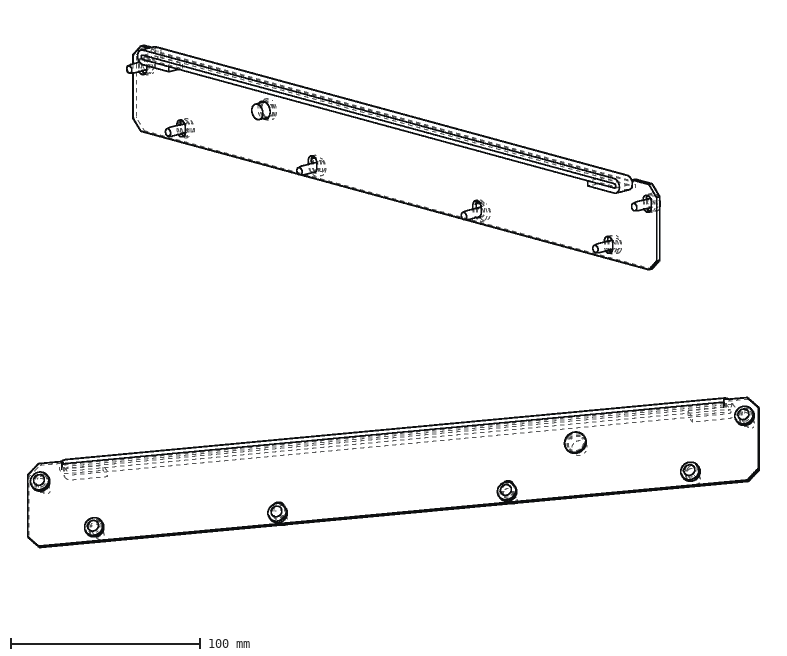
import cadquery as cq


panel_length = 398.0
sheet = 2.5
panel_height = 46.5
corner_cut = 6.0
bend_inner_radius = 2.0
bend_outer_radius = bend_inner_radius + sheet

cap_straight_half = 179.0
cap_sheet = 2.8
cap_height = sheet + 2 * cap_sheet
cap_tab_length = 20.0
cap_back_y = -4.8
cap_front_y = -14.5
flange_z = panel_height - sheet / 2

screw_x_inner = 62.5
screw_x_outer = 162.5
screw_x_ear = 192.0
screw_z_inner = 5.5
screw_z_outer = 7.0
screw_z_ear = 36.0
shaft_diameter = 4.8
shaft_reach = 9.5
tip_length = 2.5
tip_inset = 0.5
head_diameter = 10.0
head_height = 3.5
head_bevel_height = 1.0
head_bevel_inset = 2.0

slot_width = 6.5
slot_height = 9.0
lower_slot_z = 7.5

stud_x = -99.5
stud_z = 30.0
stud_diameter = 8.5
stud_hole_diameter = 9.5
stud_reach = 4.8
stud_head_diameter = 11.5
stud_head_height = 1.0

screw_places = []
slot_places = []
for side in (-1, 1):
    screw_places += [
        (side * screw_x_inner, screw_z_inner),
        (side * screw_x_outer, screw_z_outer),
        (side * screw_x_ear, screw_z_ear),
    ]
    slot_places += [
        (side * screw_x_inner, lower_slot_z),
        (side * screw_x_outer, lower_slot_z),
        (side * screw_x_ear, screw_z_ear),
    ]


def xz_plane(y):
    """Sketch plane at depth y: sketch x is X, sketch y is Z, and extruding goes toward -Y."""
    return cq.Workplane("XZ", origin=(0, y, 0))


def fold_outline(height):
    """Long round-ended prism around the flange, between the back and the front of the cap."""
    return (
        xz_plane(cap_back_y)
        .center(0, flange_z)
        .slot2D(2 * cap_straight_half + height, height)
        .extrude(cap_back_y - cap_front_y)
    )


def make_panel():
    bend_half = cap_straight_half + sheet / 2
    plate = (
        xz_plane(0)
        .rect(panel_length, panel_height)
        .extrude(sheet)
        .edges("|Y")
        .chamfer(corner_cut)
        .translate((0, 0, panel_height / 2))
    )

    bend_bottom = panel_height - bend_outer_radius
    bend_space = cq.Workplane("XY").box(
        2 * bend_half, 2 * sheet, bend_outer_radius, centered=(True, True, False)
    ).translate((0, -sheet, bend_bottom))
    bend = (
        cq.Workplane("YZ", origin=(-bend_half, 0, 0))
        .moveTo(0, bend_bottom)
        .radiusArc((-bend_outer_radius, panel_height), -bend_outer_radius)
        .lineTo(cap_back_y, panel_height)
        .lineTo(cap_back_y, panel_height - sheet)
        .lineTo(-bend_outer_radius, panel_height - sheet)
        .radiusArc((-sheet, bend_bottom), bend_inner_radius)
        .close()
        .extrude(2 * bend_half)
    )
    panel = plate.cut(bend_space).union(bend).union(fold_outline(sheet))

    slots = (
        xz_plane(0)
        .pushPoints(slot_places)
        .slot2D(slot_height, slot_width, 90)
        .extrude(sheet)
    )
    stud_hole = xz_plane(0).center(stud_x, stud_z).circle(stud_hole_diameter / 2).extrude(sheet)
    return panel.cut(slots).cut(stud_hole)


def make_cap():
    tab_gap_half = cap_straight_half - cap_tab_length
    tab_gap = cq.Workplane("XY").box(
        2 * tab_gap_half, cap_back_y - cap_front_y, cap_sheet
    ).translate((0, (cap_back_y + cap_front_y) / 2, flange_z - (sheet + cap_sheet) / 2))
    return fold_outline(cap_height).cut(fold_outline(sheet)).cut(tab_gap)


def make_screw(x, z):
    """Pan-head screw along Y, its head resting on the back of the panel."""
    head = (
        xz_plane(head_height)
        .circle(head_diameter / 2)
        .extrude(head_height)
        .faces(">Y")
        .edges()
        .chamfer(head_bevel_height, head_bevel_inset)
    )
    shaft = (
        xz_plane(0)
        .circle(shaft_diameter / 2)
        .extrude(sheet + shaft_reach)
        .faces("<Y")
        .chamfer(tip_length, tip_inset)
    )
    return head.union(shaft).translate((x, 0, z))


def make_stud():
    head = xz_plane(stud_head_height).circle(stud_head_diameter / 2).extrude(stud_head_height)
    body = xz_plane(0).circle(stud_diameter / 2).extrude(sheet + stud_reach)
    return head.union(body).translate((stud_x, 0, stud_z))


panel = make_panel()
cap = make_cap()
screws = [make_screw(x, z).val() for x, z in screw_places]
stud = make_stud()

result = cq.Compound.makeCompound([panel.val(), cap.val(), *screws, stud.val()])